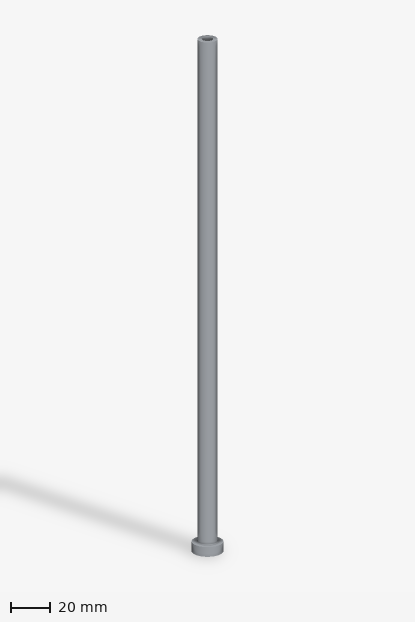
import cadquery as cq

total_length = 275.0
head_diameter = 16.0
head_height = 5.2
shaft_diameter = 10.2
bore_diameter = 5.8
root_fillet_radius = 0.5

shaft_length = total_length - head_height

head = cq.Workplane("XY").circle(head_diameter / 2).extrude(head_height)
body = head.faces(">Z").workplane().circle(shaft_diameter / 2).extrude(shaft_length)
inner_circle = cq.selectors.RadiusNthSelector(0)
body = body.faces("<Z[1]").edges(inner_circle).fillet(root_fillet_radius)

bore = cq.Workplane("XY").circle(bore_diameter / 2).extrude(total_length)

result = body.cut(bore)